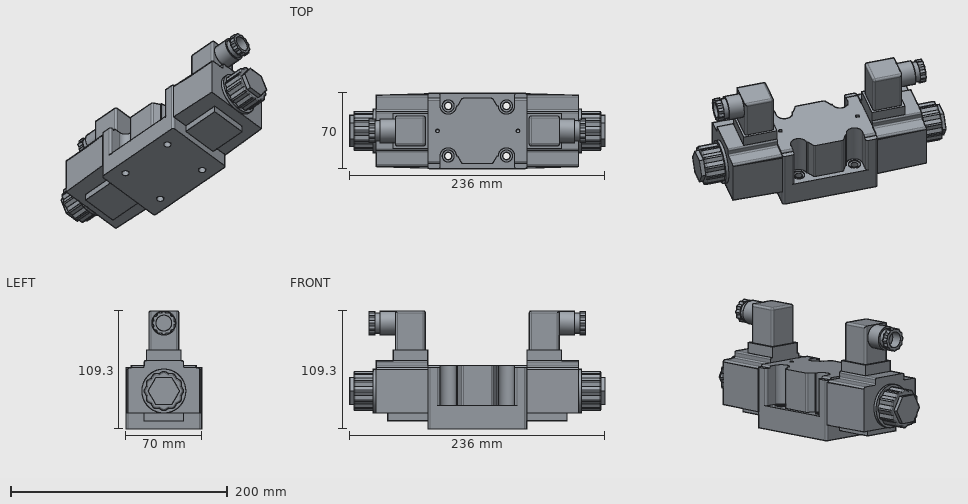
import cadquery as cq
import math

overall_length = 236.0
half_length = overall_length / 2

body_half_length = 45.8
body_width = 70.0
body_half_width = body_width / 2
body_height = 58.8
body_edge_radius = 2.1
shoulder_height = 56.9
body_top_half_width = 30.2
shoulder_radius = body_height - shoulder_height

pocket_floor = 22.0
pocket_radius = 7.5
block_side_angle = 60.0
block_edge_radius = 2.1
bolt_x = 27.0
bolt_y = 23.1
bolt_hole_diameter = 6.5
bolt_seat_diameter = 11.0
bolt_seat_depth = 1.0

drill_positions = (-36.8, 37.5)
drill_diameter = 3.3
drill_depth = 2.8
drill_point_angle = 118.0

coil_end = 93.5
coil_bottom = 14.9
coil_end_half_width = 33.0
coil_root_half_width = 34.5
coil_corner_radius = 2.0
hump_half_width = 18.2
hump_top = 63.2
hump_radius = 1.5
pad_end = 82.8
pad_bottom = 7.5

nut_z = 35.2
flange_radius = 20.3
flange_end = 96.3
knob_end = 114.0
knob_tip_radius = 18.2
knob_star_radius = 18.6
hexagon_turn = 30.0
knob_front_radius = 1.2
hex_across_flats = 25.3

plug_x = 61.8
plug_base_size = 32.0
plug_base_top = 73.2
plug_size = 27.8
plug_top = 109.3
plug_radius = 2.1
gland_z = 98.0
gland_radius = 11.0
gland_end = 90.0
neck_radius = 9.5
neck_end = 94.6
ring_star_radius = 10.9
ring_end = 100.0
gland_bore_radius = 7.3


def box(x0, x1, y0, y1, z0, z1):
    """Box between two opposite corners."""
    return cq.Workplane("XY").box(x1 - x0, y1 - y0, z1 - z0, centered=False).translate((x0, y0, z0))


def rod(radius, x0, x1, z):
    """Cylinder along X on the symmetry plane Y = 0."""
    return cq.Workplane("YZ", origin=(x0, 0, z)).circle(radius).extrude(x1 - x0)


def hexagon(corner_radius, x0, x1, z, turn=0):
    """Hexagonal bar along X, with two corners on the Y axis unless turned."""
    bar = cq.Workplane("YZ", origin=(x0, 0, z)).polygon(6, 2 * corner_radius).extrude(x1 - x0)
    return bar.rotate((0, 0, z), (1, 0, z), turn)


def twelve_point_star(tip_radius, x0, x1, z):
    """Bar along X whose section is two overlaid hexagons turned against each other."""
    return hexagon(tip_radius, x0, x1, z).union(hexagon(tip_radius, x0, x1, z, hexagon_turn))


def both_ends(right_half):
    """A feature together with its mirror image at -X."""
    return right_half.union(right_half.mirror("YZ"))


def make_shouldered_blank():
    """Body block with rounded vertical edges and lowered ledges along both sides."""
    blank = box(-body_half_length, body_half_length, -body_half_width, body_half_width, 0, shoulder_height)
    blank = blank.edges("|Z").fillet(body_edge_radius)
    raised = box(
        -body_half_length, body_half_length,
        -body_top_half_width, body_top_half_width,
        pocket_floor, body_height,
    )
    return blank.union(raised.edges("|X and >Z").fillet(shoulder_radius))


def make_central_block():
    """Block between the pockets; its slanted sides run tangent to the pocket arcs."""
    slope = math.radians(block_side_angle)
    tangent_x = bolt_x - pocket_radius * math.sin(slope)
    tangent_y = bolt_y - pocket_radius * math.cos(slope)
    corner_x = tangent_x - (body_top_half_width - tangent_y) / math.tan(slope)
    block = (
        cq.Workplane("XY", origin=(0, 0, pocket_floor))
        .moveTo(-tangent_x, tangent_y)
        .lineTo(-corner_x, body_top_half_width)
        .lineTo(corner_x, body_top_half_width)
        .lineTo(tangent_x, tangent_y)
        .lineTo(tangent_x, -tangent_y)
        .lineTo(corner_x, -body_top_half_width)
        .lineTo(-corner_x, -body_top_half_width)
        .lineTo(-tangent_x, -tangent_y)
        .close()
        .extrude(body_height - pocket_floor)
    )
    return block.edges("|Z and (>Y or <Y)").fillet(block_edge_radius)


def make_pocket_cut():
    """Material removed at the +Y side: a slot between the round ends, with flared mouth corners."""
    wall_x = bolt_x + pocket_radius
    mouth_x = wall_x + body_edge_radius
    mouth_y = body_half_width - body_edge_radius
    bend = body_edge_radius * (1 - math.sqrt(0.5))
    return (
        cq.Workplane("XY", origin=(0, 0, pocket_floor))
        .moveTo(-mouth_x, body_half_width)
        .threePointArc((-wall_x - bend, body_half_width - bend), (-wall_x, mouth_y))
        .lineTo(-wall_x, bolt_y)
        .threePointArc((-bolt_x, bolt_y - pocket_radius), (-bolt_x + pocket_radius, bolt_y))
        .lineTo(bolt_x - pocket_radius, bolt_y)
        .threePointArc((bolt_x, bolt_y - pocket_radius), (wall_x, bolt_y))
        .lineTo(wall_x, mouth_y)
        .threePointArc((wall_x + bend, body_half_width - bend), (mouth_x, body_half_width))
        .close()
        .extrude(body_height - pocket_floor)
    )


def make_body():
    """Body with pockets, central block, bolt holes with shallow seats, and two blind drillings."""
    pocket = make_pocket_cut()
    body = make_shouldered_blank().cut(pocket).cut(pocket.mirror("XZ")).union(make_central_block())

    bolt_points = [(sx * bolt_x, sy * bolt_y) for sx in (-1, 1) for sy in (-1, 1)]
    bolt_plane = cq.Workplane("XY", origin=(0, 0, pocket_floor)).pushPoints(bolt_points)
    body = body.cut(bolt_plane.circle(bolt_seat_diameter / 2).extrude(-bolt_seat_depth))
    body = body.cut(bolt_plane.circle(bolt_hole_diameter / 2).extrude(-pocket_floor))

    drill_radius = drill_diameter / 2
    point_depth = drill_radius / math.tan(math.radians(drill_point_angle / 2))
    drill = (
        cq.Workplane("XZ")
        .polyline([(0, 0), (drill_radius, 0), (drill_radius, -drill_depth), (0, -drill_depth - point_depth)])
        .close()
        .revolve(360, (0, 0, 0), (0, 1, 0))
    )
    for x in drill_positions:
        body = body.cut(drill.translate((x, 0, body_height)))
    return body


def make_coil():
    """Coil housing with wedge-shaped sides, a central hump and a pad below."""
    housing = box(
        body_half_length, coil_end,
        -coil_end_half_width, coil_end_half_width,
        coil_bottom, shoulder_height,
    )
    housing = housing.edges("|X and >Z").fillet(coil_corner_radius)
    side_wedges = (
        cq.Workplane("XY", origin=(0, 0, coil_bottom))
        .moveTo(body_half_length, -coil_root_half_width)
        .lineTo(coil_end, -coil_end_half_width)
        .lineTo(coil_end, coil_end_half_width)
        .lineTo(body_half_length, coil_root_half_width)
        .close()
        .extrude(shoulder_height - coil_corner_radius - coil_bottom)
    )
    hump = box(body_half_length, coil_end, -hump_half_width, hump_half_width, coil_bottom, hump_top)
    hump = hump.edges("|X and >Z").fillet(hump_radius)
    coil = housing.union(side_wedges).union(hump)
    for side in (-1, 1):
        hump_base = cq.selectors.NearestToPointSelector(
            ((body_half_length + coil_end) / 2, side * hump_half_width, shoulder_height)
        )
        coil = coil.edges(hump_base).fillet(hump_radius)
    pad = box(body_half_length, pad_end, -hump_half_width, hump_half_width, pad_bottom, coil_bottom)
    return coil.union(pad)


def make_nut():
    """Flange, twelve-point knob with rounded tips, and hexagonal end."""
    flange = rod(flange_radius, coil_end, flange_end, nut_z)
    knob = twelve_point_star(knob_star_radius, flange_end, knob_end, nut_z)
    knob = knob.intersect(rod(knob_tip_radius, flange_end, knob_end, nut_z))
    knob = knob.faces(">X").edges().fillet(knob_front_radius)
    hex_corner_radius = hex_across_flats / math.sqrt(3)
    return flange.union(knob).union(hexagon(hex_corner_radius, knob_end, half_length, nut_z))


def make_plug():
    """Connector base and housing with a cable gland pointing outward."""
    base_half = plug_base_size / 2
    base = box(plug_x - base_half, plug_x + base_half, -base_half, base_half, hump_top, plug_base_top)
    half = plug_size / 2
    block = box(plug_x - half, plug_x + half, -half, half, plug_base_top, plug_top)
    housing = block.edges("|Z and <X").fillet(plug_radius)
    housing = housing.faces(">Z").edges("not >X").fillet(plug_radius)
    housing = housing.intersect(block.edges("|Z and >X").fillet(plug_radius))

    gland = rod(gland_radius, plug_x, gland_end, gland_z)
    neck = rod(neck_radius, gland_end, neck_end, gland_z)
    ring = twelve_point_star(ring_star_radius, neck_end, ring_end, gland_z)
    bore = rod(gland_bore_radius, gland_end, ring_end, gland_z)
    return base.union(housing).union(gland).union(neck).union(ring).cut(bore)


solenoid = make_coil().union(make_nut()).union(make_plug())
result = make_body().union(both_ends(solenoid))